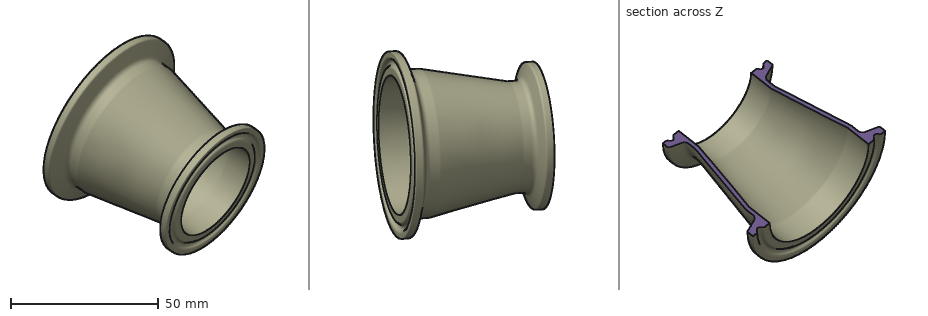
import math

import cadquery as cq

LENGTH = 50.0
WALL = 1.7

LARGE_FLANGE_D = 64.0
LARGE_BORE_D = 47.6
LARGE_TUBE_OD = LARGE_BORE_D + 2 * WALL
LARGE_GROOVE_D = 56.5
LARGE_STUB_LENGTH = 9.95

SMALL_FLANGE_D = 50.5
SMALL_BORE_D = 34.9
SMALL_TUBE_OD = SMALL_BORE_D + 2 * WALL
SMALL_GROOVE_D = 43.5
SMALL_STUB_LENGTH = 9.55

RIM_THICKNESS = 2.85
CLAMP_ANGLE = 20.0
FACE_EDGE_ROUND = 0.25
RIM_BACK_ROUND = 0.8
NECK_FILLET = 2.0

GROOVE_BOTTOM_RADIUS = 1.15
GROOVE_LIP_RADIUS = 0.95
GROOVE_WALL_ANGLE = 70.0

BEND_RADIUS = 2.2


def tube_body(large_d, small_d):
    """Solid of revolution: large cylinder, taper and small cylinder with rounded bends."""
    outline = [
        (0, 0),
        (0, large_d / 2),
        (LARGE_STUB_LENGTH, large_d / 2),
        (LENGTH - SMALL_STUB_LENGTH, small_d / 2),
        (LENGTH, small_d / 2),
        (LENGTH, 0),
    ]
    body = cq.Workplane("XZ").polyline(outline).close().revolve(360, (0, 0, 0), (1, 0, 0))
    bends = cq.selectors.BoxSelector(
        (LARGE_STUB_LENGTH / 2, -large_d, -large_d),
        (LENGTH - SMALL_STUB_LENGTH / 2, large_d, large_d),
    )
    return body.edges("%CIRCLE").edges(bends).fillet(BEND_RADIUS)


def clamp_flange(flange_d, tube_od):
    """Flange with its face at x = 0, its rim and its conical back running down to the tube."""
    flange_r = flange_d / 2
    tube_r = tube_od / 2
    slope = math.radians(CLAMP_ANGLE)
    cone_end_x = RIM_THICKNESS + (flange_r - tube_r) * math.tan(slope)
    neck_setback = NECK_FILLET * math.tan((math.pi / 2 - slope) / 2)
    neck_end_x = cone_end_x + neck_setback
    cone_touch = (
        cone_end_x - neck_setback * math.sin(slope),
        tube_r + neck_setback * math.cos(slope),
    )
    neck_mid_angle = (math.pi / 2 + slope) / 2
    neck_mid = (
        neck_end_x - NECK_FILLET * math.cos(neck_mid_angle),
        tube_r + NECK_FILLET * (1 - math.sin(neck_mid_angle)),
    )
    flange = (
        cq.Workplane("XZ")
        .lineTo(0, flange_r)
        .lineTo(RIM_THICKNESS, flange_r)
        .lineTo(*cone_touch)
        .threePointArc(neck_mid, (neck_end_x, tube_r))
        .lineTo(neck_end_x, 0)
        .close()
        .revolve(360, (0, 0, 0), (1, 0, 0))
    )
    flange = flange.edges(rim_edge(0, flange_r)).fillet(FACE_EDGE_ROUND)
    return flange.edges(rim_edge(RIM_THICKNESS, flange_r)).fillet(RIM_BACK_ROUND)


def rim_edge(x, radius):
    """Selector for the circular edge of the given radius in the plane at x."""
    reach = 0.1
    return cq.selectors.BoxSelector(
        (x - reach, -radius - reach, -radius - reach),
        (x + reach, radius + reach, radius + reach),
        boundingbox=True,
    )


def gasket_groove(groove_d):
    """Ring to cut from the flange face at x = 0."""
    centre_r = groove_d / 2
    wall = math.radians(GROOVE_WALL_ANGLE)
    bottom_half_width = GROOVE_BOTTOM_RADIUS * math.sin(wall)
    half_width = bottom_half_width + GROOVE_LIP_RADIUS * math.sin(wall)
    lip_depth = GROOVE_LIP_RADIUS * (1 - math.cos(wall))
    depth = lip_depth + GROOVE_BOTTOM_RADIUS * (1 - math.cos(wall))
    lip_mid_depth = GROOVE_LIP_RADIUS * (1 - math.cos(wall / 2))
    lip_mid_offset = half_width - GROOVE_LIP_RADIUS * math.sin(wall / 2)
    return (
        cq.Workplane("XZ")
        .moveTo(0, centre_r + half_width)
        .threePointArc((lip_mid_depth, centre_r + lip_mid_offset), (lip_depth, centre_r + bottom_half_width))
        .threePointArc((depth, centre_r), (lip_depth, centre_r - bottom_half_width))
        .threePointArc((lip_mid_depth, centre_r - lip_mid_offset), (0, centre_r - half_width))
        .close()
        .revolve(360, (0, 0, 0), (1, 0, 0))
    )


def at_small_end(shape):
    """Turn a shape built on the face at x = 0 round to the face at x = LENGTH."""
    return shape.mirror("YZ").translate((LENGTH, 0, 0))


outside = (
    tube_body(LARGE_TUBE_OD, SMALL_TUBE_OD)
    .union(clamp_flange(LARGE_FLANGE_D, LARGE_TUBE_OD))
    .union(at_small_end(clamp_flange(SMALL_FLANGE_D, SMALL_TUBE_OD)))
)

result = (
    outside.cut(tube_body(LARGE_BORE_D, SMALL_BORE_D))
    .cut(gasket_groove(LARGE_GROOVE_D))
    .cut(at_small_end(gasket_groove(SMALL_GROOVE_D)))
)